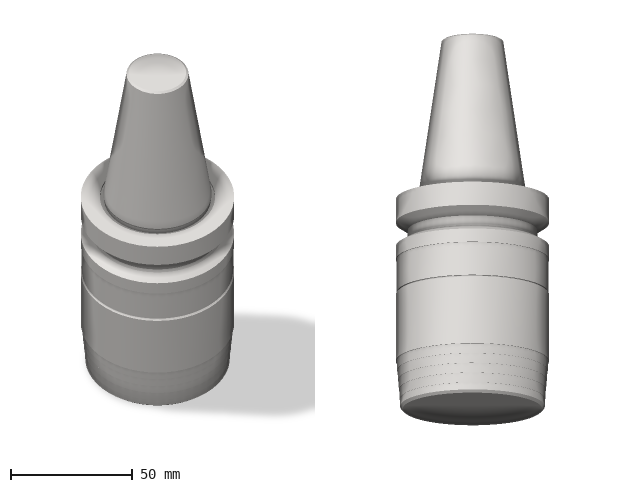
import cadquery as cq

total_height = 155.4
body_radius = 31.47

taper_ratio = 7 / 24
gauge_radius = 22.2
gauge_z = 90.0
tip_chamfer = 1.0
tip_chamfer_height = 0.6
tip_radius = gauge_radius - (total_height - gauge_z) * taper_ratio / 2

neck_radius = 21.9
neck_z = 89.2
recess_radius = 23.6
recess_depth = 1.0

flange_top_z = 88.3
flange_bottom_z = 63.0
groove_radius = 26.5
groove_upper_rim_z = 78.5
groove_upper_floor_z = 75.2
groove_lower_floor_z = 71.8
groove_lip_radius = 27.4
groove_lip_z = 70.9
groove_lower_rim_z = 68.5

collar_radius = 31.1
joint_radius = 30.5
joint_top_z = 49.1
joint_height = 0.5
sleeve_top_chamfer = 0.5
sleeve_top_z = joint_top_z - joint_height

nose_top_z = 20.2
nose_top_radius = 31.1
ring_count = 4
ring_step = 0.2
nose_radius = 29.7
nose_cylinder_height = 4.0
nose_chamfer = 1.1
ring_height = (nose_top_z - nose_cylinder_height) / ring_count
ring_narrowing = (nose_top_radius - nose_radius) / ring_count


def shank_points():
    """Half profile from the tip down to the floor of the ring recess."""
    recess_floor_z = flange_top_z - recess_depth
    return [
        (0, total_height),
        (tip_radius - tip_chamfer, total_height),
        (tip_radius, total_height - tip_chamfer_height),
        (gauge_radius, gauge_z),
        (neck_radius, neck_z),
        (neck_radius, recess_floor_z),
        (recess_radius, recess_floor_z),
        (recess_radius, flange_top_z),
    ]


def flange_points():
    """Half profile of the flange and its gripper groove."""
    return [
        (body_radius, flange_top_z),
        (body_radius, groove_upper_rim_z),
        (groove_radius, groove_upper_floor_z),
        (groove_radius, groove_lower_floor_z),
        (groove_lip_radius, groove_lip_z),
        (body_radius, groove_lower_rim_z),
        (body_radius, flange_bottom_z),
    ]


def sleeve_points():
    """Half profile of the collar, joint groove and clamping sleeve."""
    return [
        (collar_radius, flange_bottom_z),
        (collar_radius, joint_top_z),
        (joint_radius, joint_top_z),
        (joint_radius, sleeve_top_z),
        (body_radius - sleeve_top_chamfer, sleeve_top_z),
        (body_radius, sleeve_top_z - sleeve_top_chamfer),
        (body_radius, nose_top_z),
    ]


def nose_points():
    """Half profile of the conical rings, each ending in a small step inward."""
    points = []
    for ring in range(ring_count):
        top_radius = nose_top_radius - ring * ring_narrowing
        top_z = nose_top_z - ring * ring_height
        bottom_radius = top_radius - ring_narrowing + ring_step
        points += [(top_radius, top_z), (bottom_radius, top_z - ring_height)]
    points += [
        (nose_radius, nose_cylinder_height),
        (nose_radius, nose_chamfer),
        (nose_radius - nose_chamfer, 0),
        (0, 0),
    ]
    return points


profile = shank_points() + flange_points() + sleeve_points() + nose_points()
axis_start = (0, 0)
axis_end = (0, 1)
result = cq.Workplane("XZ").polyline(profile).close().revolve(360, axis_start, axis_end)